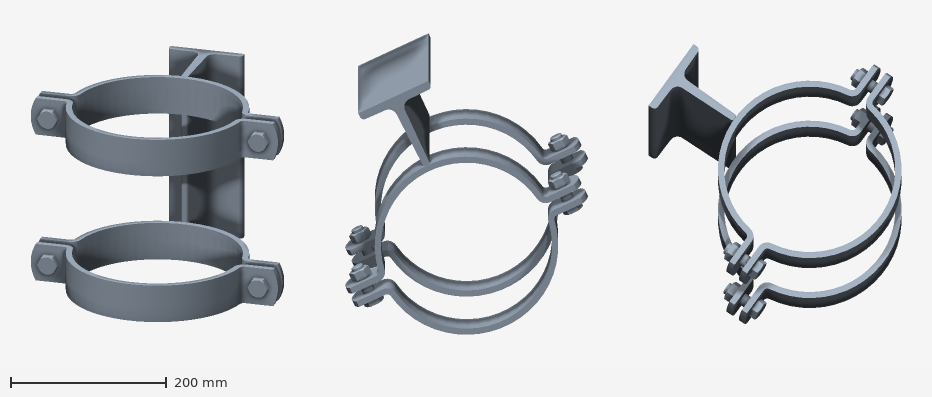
import cadquery as cq
import math

post_height = 250.0
section_size = 100.0
section_thickness = 11.0
taper = 0.02
flange_toe_radius = 5.5
root_radius = section_thickness
web_foot_radius = 3.0

clamp_count = 2
strap_thickness = 8.0
strap_width = section_size / 2
ring_inner_radius = 109.7
ring_outer_radius = ring_inner_radius + strap_thickness
ear_gap = 11.5
ear_outer_face = ear_gap / 2 + strap_thickness
clamp_width = 332.0
ear_reach = clamp_width / 2
ear_end_radius = strap_width
bend_inner_radius = 5.5
bend_outer_radius = bend_inner_radius + strap_thickness

bolt_offset = 141.3
bolt_diameter = 16.0
bolt_tip_diameter = 14.8
bolt_tip_chamfer_length = 1.0
bolt_tip_projection = 4.5
hex_across_flats = 23.8
hex_across_corners = hex_across_flats / math.cos(math.pi / 6)
head_face_diameter = hex_across_flats
nut_face_diameter = 22.0
hex_chamfer_angle = math.radians(30)
head_height = 9.5
nut_height = 12.8


def make_post():
    """T-section with tapered flange and web, extruded to the full height."""
    half_width = section_size / 2
    foot_y = ring_outer_radius
    back_y = foot_y + section_size

    web_half_at_foot = section_thickness / 2 - taper * section_size / 2
    toe_y = back_y - section_thickness + taper * half_width / 2

    toe_to_foot = toe_y - taper * half_width - foot_y
    root_x = (web_half_at_foot + taper * toe_to_foot) / (1 - taper ** 2)
    root_y = toe_y - taper * (half_width - root_x)

    right_side = [
        (half_width, back_y),
        (half_width, toe_y),
        (root_x, root_y),
        (web_half_at_foot, foot_y),
    ]
    left_side = [(-x, y) for x, y in reversed(right_side)]
    post = cq.Workplane("XY").polyline(right_side + left_side).close().extrude(post_height)

    def corner_edges(x, y):
        points = [(side * x, y, post_height / 2) for side in (-1, 1)]
        selector = cq.selectors.NearestToPointSelector(points[0])
        return selector + cq.selectors.NearestToPointSelector(points[1])

    post = post.edges(corner_edges(half_width, toe_y)).fillet(flange_toe_radius)
    post = post.edges(corner_edges(root_x, root_y)).fillet(root_radius)
    return post.edges(corner_edges(web_half_at_foot, foot_y)).fillet(web_foot_radius)


def make_strap():
    """Rear (+Y) half of a clamp: a half ring bent outward into two flat ears."""
    bend_y = ear_outer_face + bend_inner_radius
    bend_distance = ring_outer_radius + bend_inner_radius
    bend_x = math.sqrt(bend_distance ** 2 - bend_y ** 2)
    bend_angle = math.atan2(bend_y, bend_x)
    middle_angle = (math.pi / 2 + bend_angle) / 2

    def ring_point(radius):
        return (radius * math.cos(bend_angle), radius * math.sin(bend_angle))

    def bend_point(radius):
        return (bend_x - radius * math.cos(middle_angle), bend_y - radius * math.sin(middle_angle))

    def mirrored(point):
        return (-point[0], point[1])

    outer_ring = ring_point(ring_outer_radius)
    inner_ring = ring_point(ring_inner_radius)
    outer_bend = bend_point(bend_inner_radius)
    inner_bend = bend_point(bend_outer_radius)
    strip = (
        cq.Workplane("XY")
        .moveTo(*outer_ring)
        .threePointArc((0, ring_outer_radius), mirrored(outer_ring))
        .threePointArc(mirrored(outer_bend), (-bend_x, ear_outer_face))
        .lineTo(-ear_reach, ear_outer_face)
        .lineTo(-ear_reach, ear_gap / 2)
        .lineTo(-bend_x, ear_gap / 2)
        .threePointArc(mirrored(inner_bend), mirrored(inner_ring))
        .threePointArc((0, ring_inner_radius), inner_ring)
        .threePointArc(inner_bend, (bend_x, ear_gap / 2))
        .lineTo(ear_reach, ear_gap / 2)
        .lineTo(ear_reach, ear_outer_face)
        .lineTo(bend_x, ear_outer_face)
        .threePointArc(outer_bend, outer_ring)
        .close()
        .extrude(strap_width)
    )

    half_strap = strap_width / 2
    corner_x = ear_reach - ear_end_radius + math.sqrt(ear_end_radius ** 2 - half_strap ** 2)
    rounded_outline = (
        cq.Workplane("XZ")
        .moveTo(-corner_x, 0)
        .lineTo(corner_x, 0)
        .threePointArc((ear_reach, half_strap), (corner_x, strap_width))
        .lineTo(-corner_x, strap_width)
        .threePointArc((-ear_reach, half_strap), (-corner_x, 0))
        .close()
        .extrude(-ring_outer_radius)
    )
    return strip.intersect(rounded_outline)


def make_hexagon(height, face_diameter, chamfer_start, chamfer_end):
    """Hexagonal prism rising along Z, with the corners turned off at the chosen ends."""
    prism = cq.Workplane("XY").polygon(6, hex_across_corners).extrude(height)
    face_radius = face_diameter / 2
    corner_radius = hex_across_corners / 2
    drop = (corner_radius - face_radius) * math.tan(hex_chamfer_angle)
    turned_profile = [
        (0, 0),
        (face_radius if chamfer_start else corner_radius, 0),
        (corner_radius, drop if chamfer_start else 0),
        (corner_radius, height - drop if chamfer_end else height),
        (face_radius if chamfer_end else corner_radius, height),
        (0, height),
    ]
    profile = list(dict.fromkeys(turned_profile))
    envelope = cq.Workplane("XZ").polyline(profile).close().revolve(360, (0, 0, 0), (0, 1, 0))
    return prism.intersect(envelope)


def make_fastener():
    """Bolt with its nut, along +Y, centred on the gap between the ears."""
    nut_end = ear_outer_face + nut_height
    tip = nut_end + bolt_tip_projection
    shank = (
        cq.Workplane("XY")
        .workplane(offset=-ear_outer_face)
        .circle(bolt_diameter / 2)
        .extrude(ear_outer_face + tip)
        .faces(">Z")
        .chamfer(bolt_tip_chamfer_length, (bolt_diameter - bolt_tip_diameter) / 2)
    )
    head = make_hexagon(head_height, head_face_diameter, chamfer_start=True, chamfer_end=False)
    head = head.translate((0, 0, -ear_outer_face - head_height))
    nut = make_hexagon(nut_height, nut_face_diameter, chamfer_start=True, chamfer_end=True)
    nut = nut.translate((0, 0, ear_outer_face))
    return shank.union(head).union(nut).rotate((0, 0, 0), (1, 0, 0), -90)


def make_clamp():
    """Both straps joined into one solid by their two fasteners, resting on Z = 0."""
    rear_strap = make_strap()
    front_strap = rear_strap.mirror("XZ")
    clamp = rear_strap
    fastener = make_fastener()
    for side in (-1, 1):
        clamp = clamp.union(fastener.translate((side * bolt_offset, 0, strap_width / 2)))
    return clamp.union(front_strap)


post = make_post()

clamp = make_clamp()
clamp_pitch = (post_height - strap_width) / (clamp_count - 1)
clamps = [clamp.translate((0, 0, index * clamp_pitch)) for index in range(clamp_count)]

result = cq.Compound.makeCompound([post.solids().val(), *[placed.solids().val() for placed in clamps]])